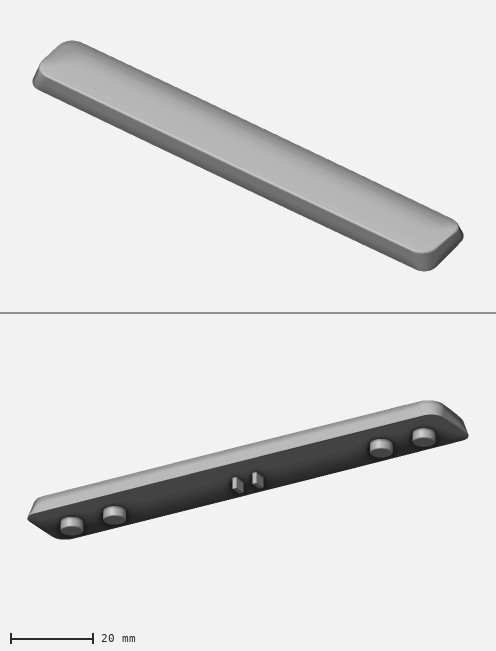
import cadquery as cq

length = 117.9
width = 18.0
block_height = 5.9

side_bow = 0.17
end_bow = 0.1
base_corner_radius = 3.5
top_corner_radius = 4.7
wall_lean = 1.3

crown_front_z = 4.7
crown_back_z = 3.0
crown_bulge = 0.46
top_edge_fillet = 0.6

foot_diameter = 5.5
foot_length = 2.6
foot_fillet = 0.4
foot_xs = (38.0, 50.1)

tab_thickness = 1.2
tab_width = 3.3
tab_length = 3.0
tab_x = 2.8


def outline(z, inset, corner_radius):
    """Closed outline with slightly bowed sides, shrunk by inset on every side."""
    end_x = length / 2 - inset
    side_y = width / 2 - inset
    corner_x = end_x - end_bow
    corner_y = side_y - side_bow
    sketch = (
        cq.Workplane("XY", origin=(0, 0, z))
        .moveTo(-corner_x, -corner_y)
        .threePointArc((0, -side_y), (corner_x, -corner_y))
        .threePointArc((end_x, 0), (corner_x, corner_y))
        .threePointArc((0, side_y), (-corner_x, corner_y))
        .threePointArc((-end_x, 0), (-corner_x, -corner_y))
        .close()
    )
    wire = sketch.val()
    return wire.fillet2D(corner_radius, wire.Vertices())


def make_leaning_block():
    """Block with leaning walls, tall enough to stand above the crown."""
    base = outline(0, 0, base_corner_radius)
    top = outline(block_height, wall_lean, top_corner_radius)
    return cq.Workplane(obj=cq.Solid.makeLoft([base, top], True))


def make_crown_envelope():
    """Everything under the crowned top, as one profile swept along X."""
    half_width = width / 2
    crown_middle_z = (crown_front_z + crown_back_z) / 2 + crown_bulge
    return (
        cq.Workplane("YZ")
        .moveTo(-half_width, 0)
        .lineTo(-half_width, crown_front_z)
        .threePointArc((0, crown_middle_z), (half_width, crown_back_z))
        .lineTo(half_width, 0)
        .close()
        .extrude(length / 2, both=True)
    )


def make_body():
    crowned = make_leaning_block().intersect(make_crown_envelope())
    return crowned.faces(">Z").edges().fillet(top_edge_fillet)


def make_feet():
    places = [(side * x, 0) for side in (-1, 1) for x in foot_xs]
    return (
        cq.Workplane("XY")
        .pushPoints(places)
        .circle(foot_diameter / 2)
        .extrude(-foot_length)
        .faces("<Z")
        .edges()
        .fillet(foot_fillet)
    )


def make_tabs():
    return (
        cq.Workplane("XY")
        .pushPoints([(-tab_x, 0), (tab_x, 0)])
        .rect(tab_thickness, tab_width)
        .extrude(-tab_length)
    )


result = make_body().union(make_feet()).union(make_tabs())